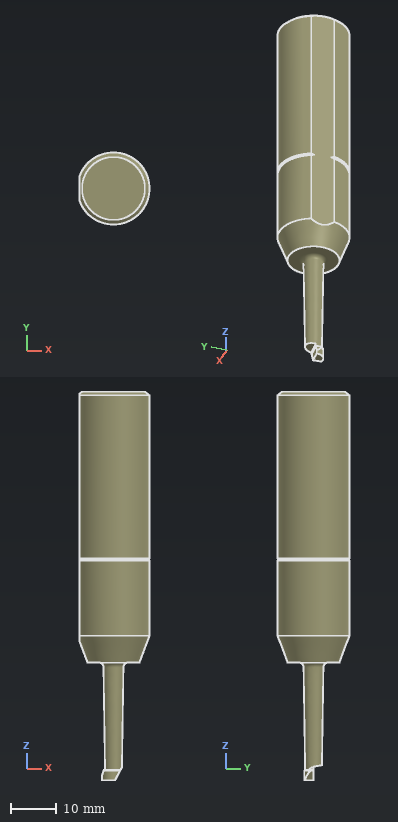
import cadquery as cq
import math

total_length = 86.0
shank_radius = 8.0
flat_width = 5.3
flat_offset = math.sqrt(shank_radius**2 - (flat_width / 2) ** 2)
top_chamfer_width = 1.0
top_chamfer_height = 0.9
shoulder_z = 32.0
nose_z = 26.1
nose_radius = 5.8

groove_z = 48.85
groove_width = 0.5
groove_depth = 0.215

neck_root_radius = 2.2
neck_end_radius = 1.9
neck_fillet = 1.0

tip_height = 2.3
tip_top_bevel = 0.2
tip_radius = 2.1
tip_reach = 2.6
tip_flank_z = 1.0
tip_flank_lean = 0.4
rake_y = 0.0
clearance_height_inner = 3.0
clearance_height_outer = 3.35
relief_foot_x = 0.35
relief_angle = 28.0


def profile_prism(points, y_start, y_end):
    """Extrude an XZ outline between two Y positions."""
    return cq.Workplane("XZ", origin=(0, y_start, 0)).polyline(points).close().extrude(y_start - y_end)


def back_relief():
    """Wedge that trims the +X side of both the neck end and the tip."""
    relief_height = 2 * tip_height
    relief_top_x = relief_foot_x + relief_height * math.tan(math.radians(relief_angle))
    outline = [(relief_foot_x, 0), (relief_top_x, relief_height), (relief_top_x, 0)]
    return profile_prism(outline, shank_radius, -shank_radius)


def turned_holder():
    """Shank, marker groove, nose cone and neck as one turned shape."""
    fillet_end_z = nose_z - neck_fillet
    fillet_center_r = neck_root_radius + neck_fillet
    fillet_mid_offset = neck_fillet * math.sqrt(0.5)
    return (
        cq.Workplane("XZ")
        .moveTo(0, tip_height)
        .lineTo(neck_end_radius, tip_height)
        .lineTo(neck_root_radius, fillet_end_z)
        .threePointArc(
            (fillet_center_r - fillet_mid_offset, fillet_end_z + fillet_mid_offset),
            (fillet_center_r, nose_z),
        )
        .lineTo(nose_radius, nose_z)
        .lineTo(shank_radius, shoulder_z)
        .lineTo(shank_radius, groove_z - groove_width / 2)
        .lineTo(shank_radius - groove_depth, groove_z)
        .lineTo(shank_radius, groove_z + groove_width / 2)
        .lineTo(shank_radius, total_length - top_chamfer_height)
        .lineTo(shank_radius - top_chamfer_width, total_length)
        .lineTo(0, total_length)
        .close()
        .revolve(360, (0, 0, 0), (0, 1, 0))
    )


def clamping_flat():
    """Block outside the flat on the -X side of the shank."""
    return (
        cq.Workplane("XY")
        .box(shank_radius, 2 * shank_radius, total_length, centered=(False, True, False))
        .translate((-flat_offset - shank_radius, 0, 0))
    )


def chip_clearance():
    """Space behind the rake face, where the neck ends higher than in front of it."""
    slope = (clearance_height_outer - clearance_height_inner) / neck_end_radius
    far_y = rake_y + 2 * neck_end_radius
    far_z = clearance_height_inner + slope * (far_y - rake_y)
    return (
        cq.Workplane("YZ", origin=(-shank_radius, 0, 0))
        .polyline([(rake_y, 0), (far_y, 0), (far_y, far_z), (rake_y, clearance_height_inner)])
        .close()
        .extrude(2 * shank_radius)
    )


def make_holder():
    return turned_holder().cut(clamping_flat()).cut(chip_clearance()).cut(back_relief())


def make_cutting_tip():
    """Half-round tip, off centre toward -X, with a leaning flank and the back relief."""
    disc = (
        cq.Workplane("XY")
        .center(tip_radius - tip_reach, 0)
        .circle(tip_radius)
        .extrude(tip_height)
        .faces(">Z")
        .chamfer(tip_top_bevel)
    )
    flank_outline = [
        (-tip_reach, 0),
        (-tip_reach, tip_flank_z),
        (-tip_reach + tip_flank_lean, tip_height),
        (tip_reach, tip_height),
        (tip_reach, 0),
    ]
    return disc.intersect(profile_prism(flank_outline, rake_y, -tip_reach)).cut(back_relief())


holder = make_holder()
cutting_tip = make_cutting_tip()

result = cq.Compound.makeCompound([holder.val(), cutting_tip.val()])